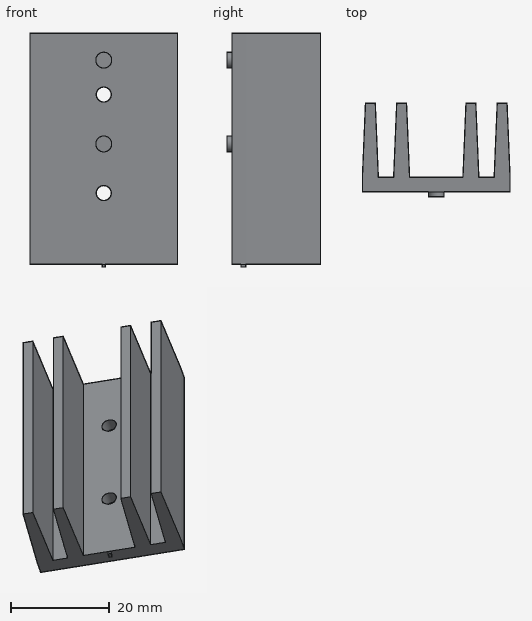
import cadquery as cq

total_height = 47.5
tab_height = 0.5
body_height = total_height - tab_height
base_width = 30.0
base_thickness = 3.0
total_depth = 19.0
pin_length = 1.0
fin_tip_y = total_depth - pin_length

fin_root_width = 3.3
fin_tip_width = 2.05
outer_fin_x = (base_width - fin_root_width) / 2
inner_fin_x = 7.05

pin_diameter = 3.25
pin_drops = (5.5, 22.5)
hole_diameter = 3.0
hole_drops = (12.5, 32.5)

tab_width = 0.6
tab_depth = 1.05
tab_center_y = 2.35


def base_plate():
    return cq.Workplane("XY").box(base_width, base_thickness, body_height, centered=(True, False, False))


def fin(center_x):
    half_root = fin_root_width / 2
    half_tip = fin_tip_width / 2
    outline = [
        (center_x - half_root, 0),
        (center_x + half_root, 0),
        (center_x + half_root, base_thickness),
        (center_x + half_tip, fin_tip_y),
        (center_x - half_tip, fin_tip_y),
        (center_x - half_root, base_thickness),
    ]
    return cq.Workplane("XY").polyline(outline).close().extrude(body_height)


def cylinder_along_y(diameter, drop, start_y, end_y):
    start = cq.Vector(0, start_y, body_height - drop)
    return cq.Solid.makeCylinder(diameter / 2, end_y - start_y, start, cq.Vector(0, 1, 0))


def lower_tab():
    tab = cq.Workplane("XY").box(tab_width, tab_depth, 2 * tab_height)
    return tab.translate((0, tab_center_y, 0))


result = base_plate()

for fin_x in (-outer_fin_x, -inner_fin_x, inner_fin_x, outer_fin_x):
    result = result.union(fin(fin_x))

for pin_drop in pin_drops:
    result = result.union(cylinder_along_y(pin_diameter, pin_drop, -pin_length, base_thickness))

for hole_drop in hole_drops:
    result = result.cut(cylinder_along_y(hole_diameter, hole_drop, 0, base_thickness))

result = result.union(lower_tab())